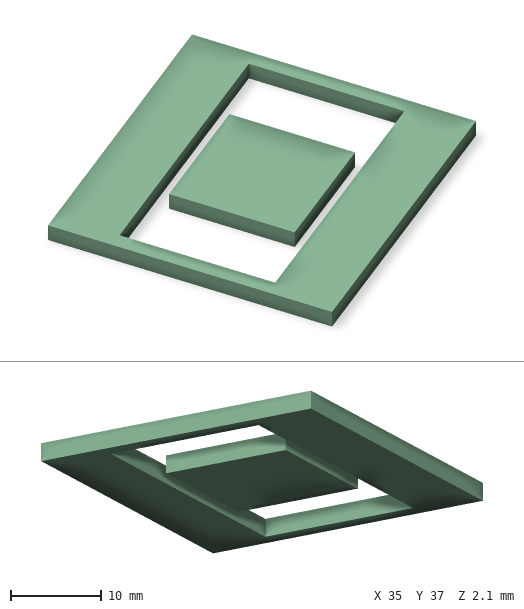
import cadquery as cq

frame_width = 35.0
frame_length = 37.0
thickness = 2.1

window_width = 19.15
end_rail = 1.9
window_length = frame_length - 2 * end_rail

plate_side = 15.5


def slab(width, length):
    """Flat rectangular block of the shared thickness, centred on X and Y."""
    return cq.Workplane("XY").rect(width, length).extrude(thickness)


def make_frame():
    """Rectangular frame with a window cut right through it."""
    return slab(frame_width, frame_length).cut(slab(window_width, window_length))


def make_plate():
    """Square plate standing free in the middle of the window."""
    return slab(plate_side, plate_side)


frame = make_frame()
plate = make_plate()

result = cq.Compound.makeCompound([frame.val(), plate.val()])